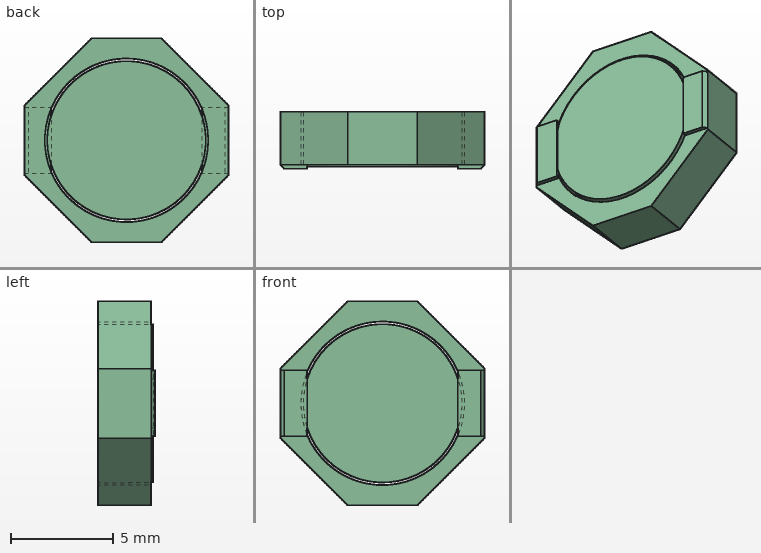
import cadquery as cq

frame_width = 10.0
corner_cut = 3.3
frame_depth = 2.6
bore_radius = 4.0

gap = 0.12
core_radius = bore_radius - gap
core_projection = 0.1

pad_thickness = 0.2
pad_height = 3.22
pad_inner_x = 3.69
pad_bevel = pad_thickness

frame_front_y = pad_thickness
frame_back_y = frame_front_y + frame_depth
half_width = frame_width / 2


def make_frame():
    """Octagonal frame with a round bore running through it along Y."""
    block = cq.Workplane("XY").box(frame_width, frame_depth, frame_width)
    octagon = block.edges("|Y").chamfer(corner_cut)
    bored = octagon.faces("<Y").workplane().hole(2 * bore_radius)
    return bored.translate((0, frame_front_y + frame_depth / 2, 0))


def make_core():
    """Cylinder flush with the back of the frame and proud of its front."""
    core_depth = frame_depth + core_projection
    return cq.Workplane("XZ", origin=(0, frame_back_y, 0)).circle(core_radius).extrude(core_depth)


def make_right_pad():
    """Pad on the +X side, bevelled along its outer front edge."""
    return (
        cq.Workplane("XY", origin=(0, 0, -pad_height / 2))
        .moveTo(pad_inner_x, 0)
        .lineTo(half_width - pad_bevel, 0)
        .lineTo(half_width, frame_front_y)
        .lineTo(pad_inner_x, frame_front_y)
        .close()
        .extrude(pad_height)
    )


right_pad = make_right_pad()
left_pad = right_pad.mirror("YZ")

result = make_frame().union(make_core()).union(right_pad).union(left_pad)